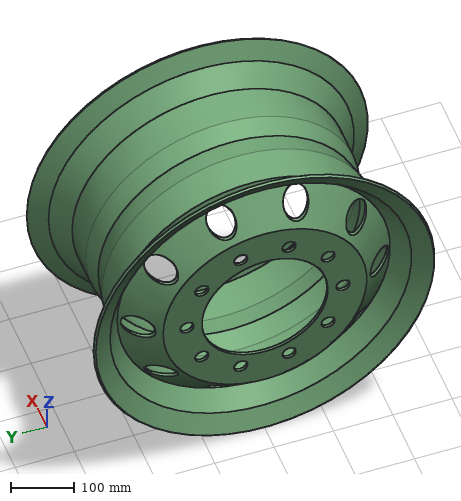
import cadquery as cq
import math


lip_tip_x = 153.72
rim_radius = 287.61
wall = 5.0
flare_break_x = 135.0
flare_break_radius = 257.5
bead_seat_x = 99.0
bead_seat_radius = 231.0
drop_half_width = 37.0
drop_radius = 223.3

mounting_face_radius = 171.5
bore_radius = 106.0
disc_meets_rim_radius = 230.0

hole_count = 10
bolt_circle_radius = 131.5
bolt_hole_radius = 11.25
hand_hole_circle_radius = 203.2
hand_hole_radius = 22.5


def unit(start, end):
    """Unit direction from one profile point to another."""
    length = math.dist(start, end)
    return (end[0] - start[0]) / length, (end[1] - start[1]) / length


def shifted(point, direction, distance):
    """Point moved along a direction."""
    return point[0] + distance * direction[0], point[1] + distance * direction[1]


def right_normal(direction):
    """Direction turned a quarter turn clockwise."""
    return direction[1], -direction[0]


def offset_right(points, distance):
    """Parallel of an open polyline on its right-hand side, with mitred corners."""
    normals = [right_normal(unit(a, b)) for a, b in zip(points, points[1:])]
    moved = [shifted(points[0], normals[0], distance)]
    for point, before, after in zip(points[1:], normals, normals[1:]):
        stretch = 1 + before[0] * after[0] + before[1] * after[1]
        mitre = (before[0] + after[0]) / stretch, (before[1] + after[1]) / stretch
        moved.append(shifted(point, mitre, distance))
    moved.append(shifted(points[-1], normals[-1], distance))
    return moved


def turned(points):
    """Solid of revolution about X from a closed (x, radius) outline."""
    return cq.Workplane("XY").polyline(points).close().revolve(360, (0, 0, 0), (1, 0, 0))


def rim_outer_points():
    right_half = [
        (drop_half_width, bead_seat_radius),
        (bead_seat_x, bead_seat_radius),
        (flare_break_x, flare_break_radius),
        (lip_tip_x, rim_radius),
    ]
    left_half = [(-x, radius) for x, radius in reversed(right_half)]
    return left_half + [(0, drop_radius)] + right_half


def make_rim(outer, inner):
    return turned(outer + inner[::-1])


def make_disc(rim_inner, mounting_face_x):
    flare_break, flare_foot = rim_inner[1], rim_inner[2]
    share = (disc_meets_rim_radius - flare_foot[1]) / (flare_break[1] - flare_foot[1])
    contact_x = flare_foot[0] + share * (flare_break[0] - flare_foot[0])
    face_edge = (mounting_face_x, mounting_face_radius)
    contact = (contact_x, disc_meets_rim_radius)

    embedded_end = shifted(contact, unit(face_edge, contact), wall / 2)
    front = [(mounting_face_x, bore_radius), face_edge, embedded_end]
    return turned(front + offset_right(front, wall)[::-1])


def hole_ring(start_x, circle_radius, hole_radius):
    """Cutters parallel to X, evenly spaced, ending behind the disc, ahead of the dropped centre."""
    return (
        cq.Workplane("YZ", origin=(start_x, 0, 0))
        .polarArray(circle_radius, 0, 360, hole_count)
        .circle(hole_radius)
        .extrude(-bead_seat_x - start_x)
    )


rim_outer = rim_outer_points()
rim_inner = offset_right(rim_outer, wall)
mounting_face_x = rim_inner[0][0]
wheel = make_rim(rim_outer, rim_inner).union(make_disc(rim_inner, mounting_face_x))
wheel = wheel.cut(hole_ring(mounting_face_x, bolt_circle_radius, bolt_hole_radius))
result = wheel.cut(hole_ring(mounting_face_x, hand_hole_circle_radius, hand_hole_radius))